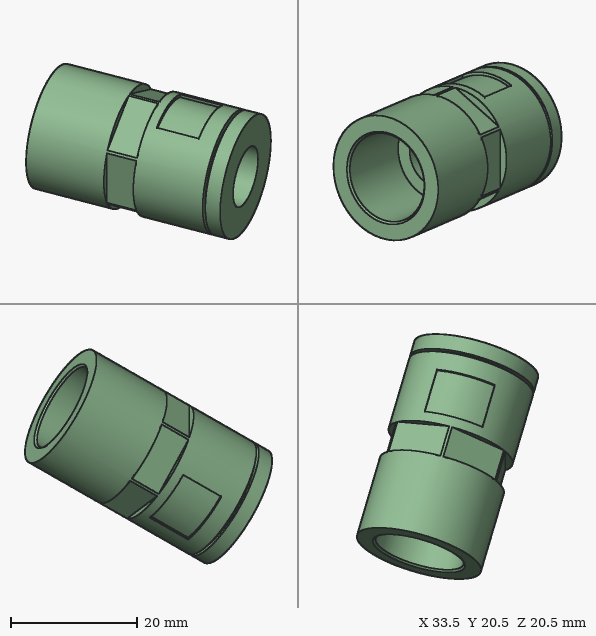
import cadquery as cq
import math

length = 33.5
outer_diameter = 20.5
through_diameter = 10.0

socket_diameter = 14.55
socket_chamfer = 0.35

hex_start = 13.45
hex_width = 5.1
hex_across_flats = 18.0
socket_depth = hex_start

recess_start = 20.2
recess_length = 7.27
recess_width = 9.5
recess_depth = 0.5

groove_start = 30.5
groove_width = 0.47
groove_diameter = 18.5


def cylinder(start, span, diameter):
    return cq.Workplane("YZ", origin=(start, 0, 0)).circle(diameter / 2).extrude(span)


def ring(start, span, inner_diameter):
    return cylinder(start, span, outer_diameter).cut(cylinder(start, span, inner_diameter))


def make_socket():
    bore = cylinder(0, socket_depth, socket_diameter)
    mouth_radius = socket_diameter / 2 + socket_chamfer
    lead_in = cq.Solid.makeCone(
        mouth_radius, socket_diameter / 2, socket_chamfer, pnt=cq.Vector(0, 0, 0), dir=cq.Vector(1, 0, 0)
    )
    return bore.union(cq.Workplane(obj=lead_in))


def make_hex_cutter():
    """Material outside the hexagon; two of its corners point along Z."""
    corner_diameter = hex_across_flats / math.cos(math.pi / 6)
    hexagon = (
        cq.Workplane("YZ", origin=(hex_start, 0, 0))
        .transformed(rotate=(0, 0, 90))
        .polygon(6, corner_diameter)
        .extrude(hex_width)
    )
    return cylinder(hex_start, hex_width, outer_diameter).cut(hexagon)


def make_recess_cutter():
    """Top and bottom sectors of a ring, trimmed to straight sides."""
    floor_diameter = outer_diameter - 2 * recess_depth
    band = cq.Workplane("XY").box(recess_length, recess_width, outer_diameter)
    band = band.translate((recess_start + recess_length / 2, 0, 0))
    return ring(recess_start, recess_length, floor_diameter).intersect(band)


result = (
    cylinder(0, length, outer_diameter)
    .cut(cylinder(0, length, through_diameter))
    .cut(make_socket())
    .cut(make_hex_cutter())
    .cut(make_recess_cutter())
    .cut(ring(groove_start, groove_width, groove_diameter))
)